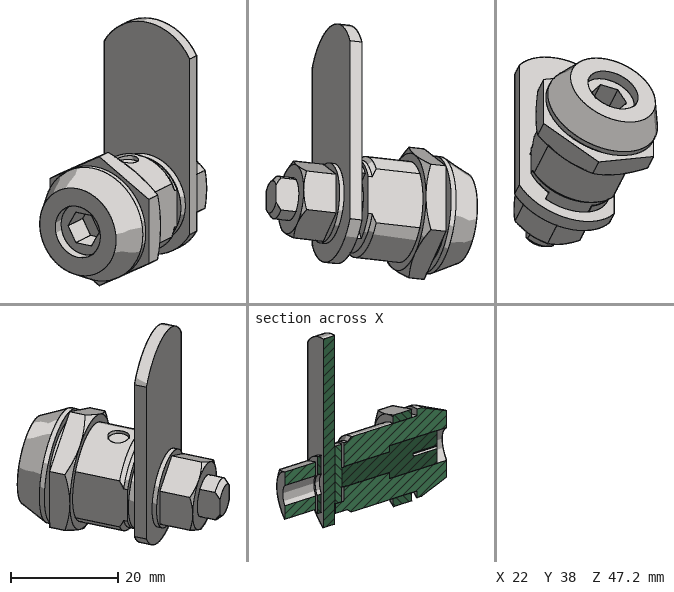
import cadquery as cq
import math


BEZEL_RADIUS = 11.0
BEZEL_FACE_RADIUS = 8.5
BEZEL_CONE_LENGTH = 5.3
BEZEL_RIM_LENGTH = 1.0
BEZEL_LENGTH = BEZEL_CONE_LENGTH + BEZEL_RIM_LENGTH
BARREL_RADIUS = 9.5
BARREL_FLATS = 15.8
CHAMFER_START = 20.05
TAIL_RADIUS = 8.7
TAIL_START = CHAMFER_START + BARREL_RADIUS - TAIL_RADIUS
HOUSING_END = 21.65
TAB_INNER_RADIUS = 6.5
TAB_LENGTH = 1.7
TAB_ANGLES = (240, 300)
SIDE_HOLE_DIAMETER = 4.0
SIDE_HOLE_Y = 17.0
SIDE_HOLE_FLOOR = 8.7

HEAD_START = 2.0
HEAD_RADIUS = 5.0
HEAD_LENGTH = 10.0
HEAD_END = HEAD_START + HEAD_LENGTH
SOCKET_FLATS = 6.0
SOCKET_DEPTH = 5.0
SOCKET_CORNER_ANGLE = 0
SHANK_RADIUS = 4.0
SHANK_FLATS = 5.05
SHANK_CHAMFER = 1.0
SPINDLE_END = 38.0

DISC_START = 22.05
DISC_THICKNESS = 1.5
DISC_RADIUS = 6.4
SECTOR_RADIUS = 8.55
SECTOR_ANGLES = (-60, 150)

CAM_START = DISC_START + DISC_THICKNESS
CAM_THICKNESS = 2.4
CAM_WIDTH = 19.0
CAM_ARC_RADIUS = 11.0
CAM_TOP = 34.5

WASHER_START = 26.35
WASHER_THICKNESS = 0.9
WASHER_RADIUS = 7.5
SHANK_NUT_START = 27.5
SHANK_NUT_THICKNESS = 6.5
SHANK_NUT_FLATS = 13.0
PANEL_NUT_START = 7.3
PANEL_NUT_THICKNESS = 4.0
PANEL_NUT_FLATS = 22.0
NUT_CHAMFER_ANGLE = 30
NUT_CORNER_ANGLE = 90


def sketch_at(y):
    """Workplane across the axis at the given Y, with X and Z as its axes; it extrudes towards -Y."""
    return cq.Workplane("XZ", origin=(0, y, 0))


def cylinder(radius, start, end):
    """Cylinder on the Y axis between two Y positions."""
    return sketch_at(start).circle(radius).extrude(start - end)


def revolved(profile):
    """Solid turned about the Y axis from (radius, y) points."""
    return cq.Workplane("XY").polyline(profile).close().revolve(360, (0, 0), (0, 1))


def slab(width, start, end):
    """Block between two flats, tall enough in Z to hold any part of the lock."""
    height = 4 * BEZEL_RADIUS
    return sketch_at(start).rect(width, height).extrude(start - end)


def polar(radius, angle):
    """Point at a radius and an angle in degrees about the axis, from +X towards +Z."""
    return (radius * math.cos(math.radians(angle)), radius * math.sin(math.radians(angle)))


def hexagon(flats, start, end, first_corner):
    """Hexagonal prism; first_corner is the angle of one corner from +X."""
    sides = 6
    corner_radius = flats / 2 / math.cos(math.pi / sides)
    corners = [polar(corner_radius, first_corner + i * 360 / sides) for i in range(sides)]
    return sketch_at(start).polyline(corners).close().extrude(start - end)


def ring_sector(inner, outer, angles, start, end):
    """Part of a ring between two angles about the axis."""
    first, last = angles
    middle = (first + last) / 2
    return (
        sketch_at(start)
        .moveTo(*polar(inner, first))
        .lineTo(*polar(outer, first))
        .threePointArc(polar(outer, middle), polar(outer, last))
        .lineTo(*polar(inner, last))
        .threePointArc(polar(inner, middle), polar(inner, first))
        .close()
        .extrude(start - end)
    )


def shank(start, end):
    """Round bar with two flats, also used to cut the holes that fit it."""
    return cylinder(SHANK_RADIUS, start, end).intersect(slab(SHANK_FLATS, start, end))


def make_housing():
    bezel = revolved([
        (0, 0),
        (BEZEL_FACE_RADIUS, 0),
        (BEZEL_RADIUS, BEZEL_CONE_LENGTH),
        (BEZEL_RADIUS, BEZEL_LENGTH),
        (0, BEZEL_LENGTH),
    ])
    barrel = revolved([
        (0, BEZEL_LENGTH),
        (BARREL_RADIUS, BEZEL_LENGTH),
        (BARREL_RADIUS, CHAMFER_START),
        (TAIL_RADIUS, TAIL_START),
        (TAIL_RADIUS, HOUSING_END),
        (0, HOUSING_END),
    ]).intersect(slab(BARREL_FLATS, BEZEL_LENGTH, HOUSING_END))
    tab = ring_sector(TAB_INNER_RADIUS, TAIL_RADIUS, TAB_ANGLES, HOUSING_END, HOUSING_END + TAB_LENGTH)
    side_hole = (
        cq.Workplane("XY", origin=(0, SIDE_HOLE_Y, SIDE_HOLE_FLOOR))
        .circle(SIDE_HOLE_DIAMETER / 2)
        .extrude(BARREL_RADIUS - SIDE_HOLE_FLOOR)
    )
    head_bore = cylinder(HEAD_RADIUS, 0, HEAD_END)
    shank_bore = cylinder(SHANK_RADIUS, HEAD_END, HOUSING_END)
    return bezel.union(barrel).union(tab).cut(side_hole).cut(head_bore).cut(shank_bore)


def make_spindle():
    head = cylinder(HEAD_RADIUS, HEAD_START, HEAD_END)
    socket = hexagon(SOCKET_FLATS, HEAD_START, HEAD_START + SOCKET_DEPTH, SOCKET_CORNER_ANGLE)
    round_neck = cylinder(SHANK_RADIUS, HEAD_END, DISC_START)
    chamfered_bar = cylinder(SHANK_RADIUS, DISC_START, SPINDLE_END).faces(">Y").chamfer(SHANK_CHAMFER)
    flatted_shank = chamfered_bar.intersect(slab(SHANK_FLATS, DISC_START, SPINDLE_END))
    return head.cut(socket).union(round_neck).union(flatted_shank)


def make_stop_disc():
    end = DISC_START + DISC_THICKNESS
    disc = cylinder(DISC_RADIUS, DISC_START, end)
    sector = ring_sector(SHANK_RADIUS, SECTOR_RADIUS, SECTOR_ANGLES, DISC_START, end)
    return disc.union(sector).cut(shank(DISC_START, end))


def make_cam():
    end = CAM_START + CAM_THICKNESS
    half_width = CAM_WIDTH / 2
    arc_rise = math.sqrt(CAM_ARC_RADIUS**2 - half_width**2)
    top_corner = CAM_TOP - CAM_ARC_RADIUS + arc_rise
    plate = (
        sketch_at(CAM_START)
        .moveTo(-half_width, -arc_rise)
        .threePointArc((0, -CAM_ARC_RADIUS), (half_width, -arc_rise))
        .lineTo(half_width, top_corner)
        .threePointArc((0, CAM_TOP), (-half_width, top_corner))
        .close()
        .extrude(-CAM_THICKNESS)
    )
    return plate.cut(shank(CAM_START, end))


def make_washer():
    end = WASHER_START + WASHER_THICKNESS
    return cylinder(WASHER_RADIUS, WASHER_START, end).cut(cylinder(SHANK_RADIUS, WASHER_START, end))


def make_nut(flats, bore_radius, start, thickness):
    """Hexagon nut with corners up and down, its corners chamfered on the +Y face only."""
    end = start + thickness
    face_radius = flats / 2
    slope = math.tan(math.radians(NUT_CHAMFER_ANGLE))
    cone_radius = face_radius + thickness / slope
    chamfer_cone = revolved([(0, start), (cone_radius, start), (face_radius, end), (0, end)])
    blank = hexagon(flats, start, end, NUT_CORNER_ANGLE).intersect(chamfer_cone)
    return blank.cut(cylinder(bore_radius, start, end))


housing = make_housing()
panel_nut = make_nut(PANEL_NUT_FLATS, BARREL_RADIUS, PANEL_NUT_START, PANEL_NUT_THICKNESS)
spindle = make_spindle()
stop_disc = make_stop_disc()
cam = make_cam()
washer = make_washer()
shank_nut = make_nut(SHANK_NUT_FLATS, SHANK_RADIUS, SHANK_NUT_START, SHANK_NUT_THICKNESS)

result = cq.Compound.makeCompound([
    housing.val(),
    panel_nut.val(),
    spindle.val(),
    stop_disc.val(),
    cam.val(),
    washer.val(),
    shank_nut.val(),
])